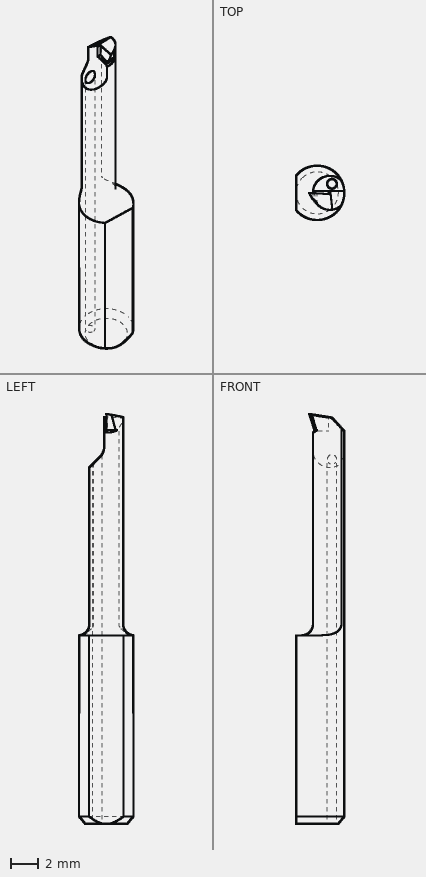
import cadquery as cq
import math

length = 30.0
shank_radius = 1.995
shank_length = 13.8
flat_x = -1.545
end_chamfer_height = 0.55
end_chamfer_width = shank_radius + flat_x

neck_radius = 1.245
neck_x = 0.93
root_fillet = 0.8

hole_diameter = 0.7
hole_x = 1.08
hole_y = 0.65

relief_y = 0.15
relief_start_z = 26.07
runout_radius = 1.15

edge_x = -0.585
edge_base_z = 28.8
flank_base_x = -0.2
flank_heel_x = -0.03
rake_edge_y = 0.0
rake_inner_y = -0.1
rake_inner_x = 0.85
rake_floor_z = 28.75
flank_ledge_z = 28.62

ridge_front_x = 1.1
ridge_back_x = 0.95
ridge_front_z = 29.7
ridge_back_z = 29.75
edge_front_z = 29.88
back_chamfer_z = 28.75
margin = 0.9


def cylinder(radius, height, x=0.0, y=0.0):
    return cq.Workplane("XY").center(x, y).circle(radius).extrude(height)


def ruled_solid(first_points, second_points):
    """Solid with straight sides joining two polygons with matching corners."""
    wires = []
    for points in (first_points, second_points):
        wires.append(cq.Wire.makePolygon([cq.Vector(*p) for p in points], close=True))
    return cq.Workplane(obj=cq.Solid.makeLoft(wires, True))


def make_shank():
    chamfer_radius = shank_radius - end_chamfer_width
    body = (
        cq.Workplane("XZ")
        .moveTo(0, 0)
        .lineTo(chamfer_radius, 0)
        .lineTo(shank_radius, end_chamfer_height)
        .lineTo(shank_radius, shank_length)
        .lineTo(0, shank_length)
        .close()
        .revolve(360, (0, 0, 0), (0, 1, 0))
    )
    flat_width = 2 * shank_radius
    keep = cq.Workplane("XY").box(flat_width, flat_width, length, (False, True, False))
    return body.intersect(keep.translate((flat_x, 0, 0)))


def make_neck():
    """Neck with a concave root fillet where it meets the shank."""
    root_radius = neck_radius + root_fillet
    arc_offset = root_fillet * (1 - math.sqrt(0.5))
    neck_start_z = shank_length - margin
    body = (
        cq.Workplane("XZ")
        .moveTo(0, neck_start_z)
        .lineTo(root_radius, neck_start_z)
        .lineTo(root_radius, shank_length)
        .threePointArc(
            (neck_radius + arc_offset, shank_length + arc_offset),
            (neck_radius, shank_length + root_fillet),
        )
        .lineTo(neck_radius, length)
        .lineTo(0, length)
        .close()
        .revolve(360, (0, 0, 0), (0, 1, 0))
        .translate((neck_x, 0, 0))
    )
    return body.intersect(cylinder(shank_radius, length))


def make_cutting_edge():
    """Overhang on the -X side whose flank runs inward below the edge."""
    heel_y = -math.sqrt(neck_radius**2 - (neck_x - flank_heel_x) ** 2)
    heel_relief_x = -0.05
    heel_relief_y = -0.7
    top_corner_x = -0.405
    top_corner_y = -0.35
    base = [
        (flank_base_x, rake_edge_y, edge_base_z),
        (heel_relief_x, heel_relief_y, edge_base_z),
        (flank_heel_x, heel_y, edge_base_z),
        (rake_inner_x, relief_y, edge_base_z),
    ]
    top = [
        (edge_x, rake_edge_y, length),
        (top_corner_x, top_corner_y, length),
        (flank_heel_x, heel_y, length),
        (rake_inner_x, relief_y, length),
    ]
    return ruled_solid(base, top)


def make_flank_clearance():
    """Cut into the -X side of the neck, with a sloping ledge, beneath the cutting edge."""
    outer_x = edge_x - margin
    ledge_x = neck_x - neck_radius
    return (
        cq.Workplane("XZ")
        .polyline([
            (outer_x, flank_ledge_z),
            (ledge_x, flank_ledge_z),
            (flank_heel_x, edge_base_z),
            (flank_heel_x, length + margin),
            (outer_x, length + margin),
        ])
        .close()
        .extrude(neck_radius, both=True)
    )


def make_relief():
    """Material removed from the +Y half of the tip."""
    arc_y = relief_y + runout_radius
    half_angle = math.radians(22.5)
    slope_y = arc_y - runout_radius * math.sqrt(0.5)
    slope_z = relief_start_z + neck_radius - slope_y
    arc_z = slope_z + runout_radius * math.sqrt(0.5)
    middle = (
        arc_y - runout_radius * math.cos(half_angle),
        arc_z - runout_radius * math.sin(half_angle),
    )
    outer_y = neck_radius + margin
    return (
        cq.Workplane("YZ")
        .moveTo(relief_y, length + margin)
        .lineTo(relief_y, arc_z)
        .threePointArc(middle, (slope_y, slope_z))
        .lineTo(outer_y, relief_start_z - margin)
        .lineTo(outer_y, length + margin)
        .close()
        .extrude(2 * shank_radius, both=True)
    )


def make_rake_pocket():
    """Shallow pocket that sets the cutting face below the relief floor."""
    return (
        cq.Workplane("XY")
        .workplane(offset=rake_floor_z)
        .polyline([
            (edge_x - margin, relief_y + margin),
            (edge_x - margin, rake_edge_y),
            (edge_x, rake_edge_y),
            (rake_inner_x, rake_inner_y),
            (rake_inner_x, relief_y + margin),
        ])
        .close()
        .extrude(length)
    )


def make_top_cut():
    """Everything above the sloping top face and the back chamfer."""
    def section(y, edge_z, ridge_x, ridge_z):
        high_z = length + margin
        return [
            (edge_x, y, edge_z),
            (ridge_x, y, ridge_z),
            (shank_radius, y, back_chamfer_z),
            (shank_radius, y, high_z),
            (edge_x, y, high_z),
        ]

    end_slope = (length - edge_front_z) / (neck_radius + rake_edge_y)
    edge_back_z = length + end_slope * (relief_y - rake_edge_y)
    front = section(-neck_radius, edge_front_z, ridge_front_x, ridge_front_z)
    back = section(relief_y, edge_back_z, ridge_back_x, ridge_back_z)
    return ruled_solid(front, back)


result = make_shank().union(make_neck())
result = result.cut(make_flank_clearance()).union(make_cutting_edge())
result = result.cut(make_relief()).cut(make_top_cut()).cut(make_rake_pocket())
result = result.cut(cylinder(hole_diameter / 2, length, hole_x, hole_y))